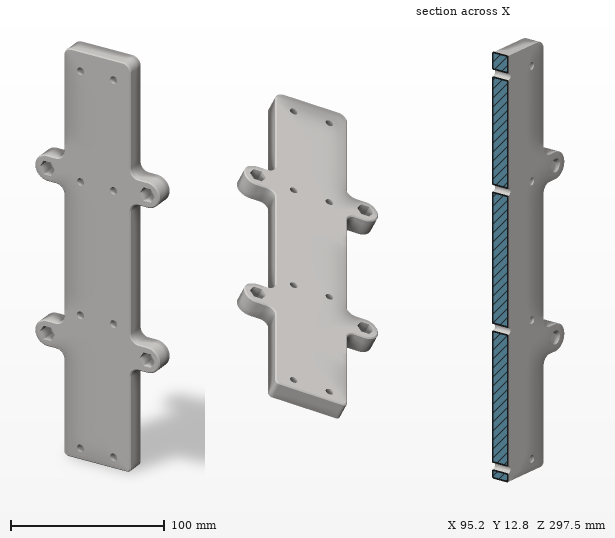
import cadquery as cq
import math

length = 297.5
width = 51.0
thickness = 12.8
top_corner_radius = 6.2
bottom_corner_radius = 3.0
front_chamfer = 0.83

guide_hole_diameter = 5.5
guide_column_spacing = 25.3
top_margin = 14.5
bottom_margin = 8.3
guide_row_pitch = 97.0
even_guide_rows = 3
top_guide_height = length / 2 - top_margin
bottom_guide_height = -length / 2 + bottom_margin
guide_heights = [bottom_guide_height + row * guide_row_pitch for row in range(even_guide_rows)]
guide_heights.append(top_guide_height)

ear_span = 95.2
ear_radius = 9.5
ear_pitch = 120.2
ear_blend_radius = 6.2
ear_hole_diameter = 9.5
ear_hole_spacing = ear_span - 2 * ear_radius
ear_center_height = (top_guide_height + bottom_guide_height) / 2
ear_heights = [ear_center_height + ear_pitch / 2, ear_center_height - ear_pitch / 2]

nut_across_flats = 9.8
nut_across_corners = nut_across_flats / math.cos(math.pi / 6)
nut_pocket_depth = 10.0


def mirrored_points(spacing, heights):
    """One point left and one point right of the plate center at each height."""
    return [(side * spacing / 2, height) for height in heights for side in (-1, 1)]


def make_plate():
    """Plate with its front face at the lowest Y and rounded corners."""
    plate = cq.Workplane("XY").box(width, thickness, length)
    plate = plate.edges("|Y and >Z").fillet(top_corner_radius)
    return plate.edges("|Y and <Z").fillet(bottom_corner_radius)


def make_ear_pair(height):
    """Straight bar with round ends that forms the left and right ear."""
    return (
        cq.Workplane("XZ")
        .center(0, height)
        .slot2D(ear_span, 2 * ear_radius)
        .extrude(thickness / 2, both=True)
    )


def blend_ears(plate):
    """Round the inner corners where the ears leave the plate."""
    for x, height in mirrored_points(width, ear_heights):
        for z in (height - ear_radius, height + ear_radius):
            corner = cq.selectors.NearestToPointSelector((x, 0, z))
            plate = plate.edges(corner).fillet(ear_blend_radius)
    return plate


def make_holes(diameter, spacing, heights):
    """Cylinders that reach through the whole plate."""
    return (
        cq.Workplane("XZ")
        .pushPoints(mirrored_points(spacing, heights))
        .circle(diameter / 2)
        .extrude(thickness, both=True)
    )


def make_nut_pockets():
    """Hexagonal prisms entering from the front, with flats at top and bottom."""
    return (
        cq.Workplane("XZ", origin=(0, -thickness / 2, 0))
        .pushPoints(mirrored_points(ear_hole_spacing, ear_heights))
        .polygon(6, nut_across_corners)
        .extrude(-nut_pocket_depth)
    )


body = make_plate()
for ear_height in ear_heights:
    body = body.union(make_ear_pair(ear_height))
body = blend_ears(body)
body = body.faces("<Y").chamfer(front_chamfer)

body = body.cut(make_holes(ear_hole_diameter, ear_hole_spacing, ear_heights))
body = body.cut(make_nut_pockets())
body = body.cut(make_holes(guide_hole_diameter, guide_column_spacing, guide_heights))

result = body